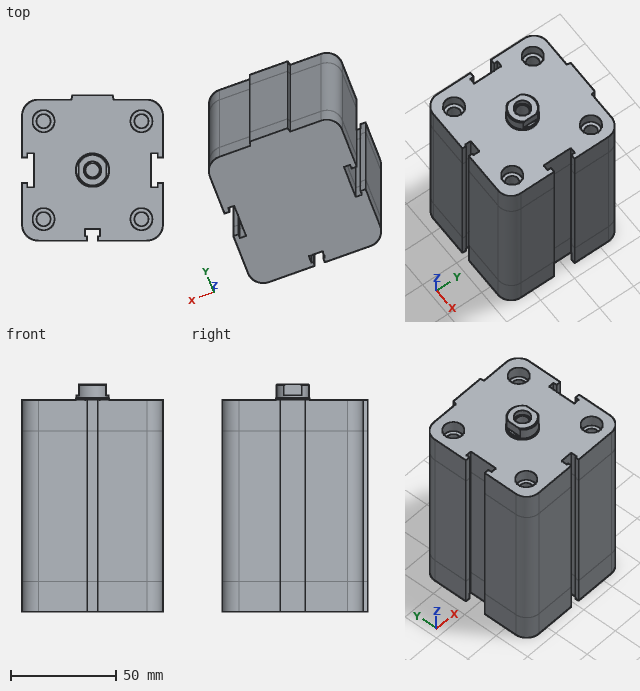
import cadquery as cq

TOTAL_HEIGHT = 108.0
HOUSING_SIDE = 67.0
HOUSING_HEIGHT = 100.5
CORNER_RADIUS = 7.8
END_CAP_HEIGHT = 14.6
BARREL_HEIGHT = HOUSING_HEIGHT - 2 * END_CAP_HEIGHT

PAD_FACE_WIDTH = 19.2
PAD_BASE_WIDTH = 20.1
PAD_PROTRUSION = 2.0

SIDE_SLOT = {"mouth": 12.0, "undercut": 16.0, "lip": 2.6, "depth": 5.7}
FRONT_SLOT = {"mouth": 5.1, "undercut": 6.9, "lip": 2.2, "depth": 5.5}

MOUNT_SPACING = 46.4
MOUNT_BORE_DIAMETER = 10.5
MOUNT_BORE_DEPTH = 6.5
MOUNT_HOLE_DIAMETER = 6.7
MOUNT_HOLE_DEPTH = END_CAP_HEIGHT

ROD_DIAMETER = 16.0
ROD_SHOULDER_HEIGHT = 0.9
ROD_TIP_DIAMETER = 15.5
ROD_TIP_CHAMFER = 0.5
ROD_SEAT_Z = HOUSING_HEIGHT - END_CAP_HEIGHT
FLATS_WIDTH = 13.0
FLATS_HEIGHT = 5.4
THREAD_DIAMETER = 6.7
THREAD_DEPTH = 13.0
THREAD_RELIEF_DIAMETER = 8.3
THREAD_RELIEF_DEPTH = 3.0


def housing_section(base_z, height):
    """One length of the housing outline: a rounded square with the pad and T-slots."""
    half_side = HOUSING_SIDE / 2
    square = (
        cq.Workplane("XY", origin=(0, 0, base_z))
        .rect(HOUSING_SIDE, HOUSING_SIDE)
        .extrude(height)
        .edges("|Z")
        .fillet(CORNER_RADIUS)
    )
    pad = (
        cq.Workplane("XY", origin=(0, half_side, base_z))
        .moveTo(-PAD_BASE_WIDTH / 2, -PAD_PROTRUSION)
        .lineTo(-PAD_BASE_WIDTH / 2, 0)
        .lineTo(-PAD_FACE_WIDTH / 2, PAD_PROTRUSION)
        .lineTo(PAD_FACE_WIDTH / 2, PAD_PROTRUSION)
        .lineTo(PAD_BASE_WIDTH / 2, 0)
        .lineTo(PAD_BASE_WIDTH / 2, -PAD_PROTRUSION)
        .close()
        .extrude(height)
    )
    section = square.union(pad)
    for slot, angle in ((FRONT_SLOT, 0), (SIDE_SLOT, 90), (SIDE_SLOT, -90)):
        section = section.cut(t_slot(slot, angle, base_z, height))
    return section


def t_slot(slot, angle, base_z, height):
    """T-slot cutter for the front face, turned about Z by the given angle."""
    face_y = -HOUSING_SIDE / 2
    mouth = (
        cq.Workplane("XY", origin=(0, face_y + slot["lip"] / 2, base_z))
        .rect(slot["mouth"], slot["lip"])
        .extrude(height)
    )
    undercut_depth = slot["depth"] - slot["lip"]
    undercut = (
        cq.Workplane("XY", origin=(0, face_y + slot["lip"] + undercut_depth / 2, base_z))
        .rect(slot["undercut"], undercut_depth)
        .extrude(height)
    )
    return mouth.union(undercut).rotate((0, 0, 0), (0, 0, 1), angle)


def make_housing():
    housing = housing_section(0, END_CAP_HEIGHT)
    for base_z, height in ((END_CAP_HEIGHT, BARREL_HEIGHT), (ROD_SEAT_Z, END_CAP_HEIGHT)):
        housing = housing.union(housing_section(base_z, height), clean=False)

    top = cq.Workplane("XY", origin=(0, 0, HOUSING_HEIGHT))
    mounts = top.rect(MOUNT_SPACING, MOUNT_SPACING, forConstruction=True).vertices()
    mount_bores = mounts.circle(MOUNT_BORE_DIAMETER / 2).extrude(-MOUNT_BORE_DEPTH)
    mount_holes = mounts.circle(MOUNT_HOLE_DIAMETER / 2).extrude(-MOUNT_HOLE_DEPTH)
    rod_seat = top.circle(ROD_DIAMETER / 2).extrude(-END_CAP_HEIGHT)
    for cutter in (mount_bores, mount_holes, rod_seat):
        housing = housing.cut(cutter, clean=False)
    return housing


def make_rod():
    shoulder_z = HOUSING_HEIGHT + ROD_SHOULDER_HEIGHT
    shank = (
        cq.Workplane("XY", origin=(0, 0, ROD_SEAT_Z))
        .circle(ROD_DIAMETER / 2)
        .extrude(shoulder_z - ROD_SEAT_Z)
        .faces(">Z")
        .chamfer((ROD_DIAMETER - ROD_TIP_DIAMETER) / 2)
    )
    tip = (
        cq.Workplane("XY", origin=(0, 0, shoulder_z))
        .circle(ROD_TIP_DIAMETER / 2)
        .extrude(TOTAL_HEIGHT - shoulder_z)
        .faces(">Z")
        .chamfer(ROD_TIP_CHAMFER)
    )

    top = cq.Workplane("XY", origin=(0, 0, TOTAL_HEIGHT))
    flats = (
        top.rect(2 * ROD_DIAMETER, 2 * ROD_DIAMETER)
        .rect(FLATS_WIDTH, 2 * ROD_DIAMETER)
        .extrude(-FLATS_HEIGHT)
    )
    rod = shank.union(tip).cut(flats)

    rod = rod.cut(top.circle(THREAD_DIAMETER / 2).extrude(-THREAD_DEPTH))
    return rod.cut(top.circle(THREAD_RELIEF_DIAMETER / 2).extrude(-THREAD_RELIEF_DEPTH))


housing = make_housing()
rod = make_rod()

result = cq.Compound.makeCompound([housing.solids().val(), rod.solids().val()])